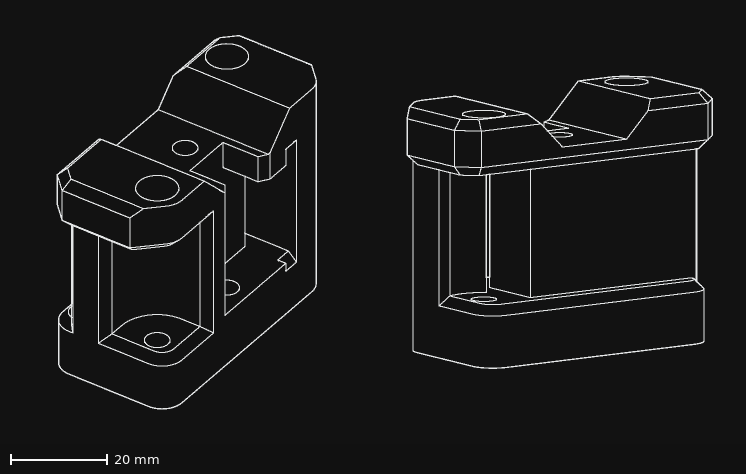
import cadquery as cq
import math

WIDTH = 30.0
LENGTH = 65.5
HEIGHT = 52.0

BEVEL = 2.0
OVER = 3.3

BASE_LENGTH = 57.5
BASE_TOP = 13.05
BASE_RADIUS = 5.0
BASE_END = BASE_LENGTH / 2

WEB_LEFT = BASE_RADIUS
WEB_BEVEL = 1.0

PLATE_BOTTOM = 40.2
PLATE_LEFT = BEVEL
PLATE_END = LENGTH / 2
LEFT_CORNER = 4.0
RIGHT_ROUND = BASE_RADIUS
RIGHT_CORNER = PLATE_END - BASE_END + RIGHT_ROUND * (2 - math.sqrt(2))
LOWER_BEVEL = 2.1

GROOVE_FLOOR = 44.55
GROOVE_HALF_FLOOR = 8.1
GROOVE_RISE = HEIGHT - GROOVE_FLOOR

NOTCH_LEFT = 19.65
NOTCH_CENTER = 0.2
NOTCH_HALF_WIDTH = 6.0
NOTCH_FLARE_START = 28.5
NOTCH_FLARE = 2.2

WINDOW_TOP = PLATE_BOTTOM - LOWER_BEVEL
SLIT_END = 18.1

HOLE_DIAMETER = 5.3
SCREW_HEAD_DIAMETER = 9.0
POCKET_RADIUS = SCREW_HEAD_DIAMETER
SCREW_Y = 23.2
REAR_SCREW_X = 9.0
FRONT_SCREW_X = 23.4
WEB_HOLE_X = 14.3
NOTCH_HOLE_X = 24.75
POCKET_EDGE_Y = SCREW_Y - POCKET_RADIUS
FRONT_POCKET_LEFT = FRONT_SCREW_X - POCKET_RADIUS
REAR_POCKET_ROUND_X = 8.0
COLUMN_BEVEL = 1.0


def box(x0, x1, y0, y1, z0, z1):
    """Box between two opposite corners."""
    return cq.Workplane("XY").box(x1 - x0, y1 - y0, z1 - z0, centered=False).translate((x0, y0, z0))


def prism(points, z0, z1):
    """Closed polygon in plan, extruded from z0 to z1."""
    return cq.Workplane("XY").workplane(offset=z0).polyline(points).close().extrude(z1 - z0)


def cylinder(x, y, diameter, z0, z1):
    """Upright cylinder."""
    return cq.Workplane("XY").workplane(offset=z0).center(x, y).circle(diameter / 2).extrude(z1 - z0)


def make_base():
    """Rounded block with a chamfered top edge."""
    block = box(0, WIDTH, -BASE_END, BASE_END, 0, BASE_TOP)
    return block.edges("|Z").fillet(BASE_RADIUS).faces(">Z").chamfer(BEVEL)


def make_plate():
    """Plate with cut corners, bevelled below all round and above everywhere but on the right."""
    upper = box(PLATE_LEFT, WIDTH + OVER, -PLATE_END, PLATE_END, PLATE_BOTTOM, HEIGHT)
    upper = upper.edges("|Z and <X").chamfer(LEFT_CORNER).faces(">Z").chamfer(BEVEL)
    lower = box(PLATE_LEFT, WIDTH, -PLATE_END, PLATE_END, PLATE_BOTTOM, HEIGHT)
    lower = lower.edges("|Z and <X").chamfer(LEFT_CORNER)
    lower = lower.edges("|Z and >X").chamfer(RIGHT_CORNER)
    lower = lower.edges("|Z and >X").fillet(RIGHT_ROUND)
    lower = lower.faces("<Z").chamfer(LOWER_BEVEL)
    return lower.intersect(upper)


def make_groove():
    """Cutting body for the V-shaped groove, running the full width."""
    half_top = GROOVE_HALF_FLOOR + GROOVE_RISE + OVER
    outline = [
        (-GROOVE_HALF_FLOOR, GROOVE_FLOOR),
        (GROOVE_HALF_FLOOR, GROOVE_FLOOR),
        (half_top, HEIGHT + OVER),
        (-half_top, HEIGHT + OVER),
    ]
    return cq.Workplane("YZ").polyline(outline).close().extrude(WIDTH + OVER)


def make_web():
    """Wall from base to plate, hollowed round the front screw, with its open edges bevelled."""
    bottom = BASE_TOP - BEVEL
    height = PLATE_BOTTOM + LOWER_BEVEL - bottom
    diagonal = POCKET_RADIUS * math.sqrt(0.5)
    return (
        cq.Workplane("XY")
        .workplane(offset=bottom)
        .moveTo(WEB_LEFT, POCKET_EDGE_Y)
        .lineTo(WEB_LEFT, WEB_BEVEL - BASE_END)
        .lineTo(WEB_LEFT + WEB_BEVEL, -BASE_END)
        .lineTo(FRONT_POCKET_LEFT - BEVEL, -BASE_END)
        .lineTo(FRONT_POCKET_LEFT, BEVEL - BASE_END)
        .lineTo(FRONT_POCKET_LEFT, -SCREW_Y)
        .threePointArc(
            (FRONT_SCREW_X - diagonal, -SCREW_Y + diagonal),
            (FRONT_SCREW_X, -POCKET_EDGE_Y),
        )
        .lineTo(WIDTH - BEVEL, -POCKET_EDGE_Y)
        .lineTo(WIDTH, BEVEL - POCKET_EDGE_Y)
        .lineTo(WIDTH, POCKET_EDGE_Y)
        .close()
        .extrude(height)
    )


def make_rear_column():
    """Column at the rear right, hollowed round the rear screw and rounded like the base corner."""
    bottom = BASE_TOP - BEVEL
    height = PLATE_BOTTOM + LOWER_BEVEL - bottom
    bevel_start_y = BASE_END - BEVEL

    def pocket_x(y):
        return REAR_POCKET_ROUND_X + math.sqrt(POCKET_RADIUS**2 - (y - SCREW_Y) ** 2)

    bevel_start_x = pocket_x(bevel_start_y)
    column = (
        cq.Workplane("XY")
        .workplane(offset=bottom)
        .moveTo(WIDTH, SLIT_END)
        .lineTo(WIDTH, BASE_END)
        .lineTo(bevel_start_x + COLUMN_BEVEL, BASE_END)
        .lineTo(bevel_start_x, bevel_start_y)
        .threePointArc((pocket_x(SCREW_Y), SCREW_Y), (pocket_x(SLIT_END), SLIT_END))
        .close()
        .extrude(height)
    )
    return column.edges("|Z and >X and >Y").fillet(BASE_RADIUS)


def make_notch():
    """Cutting body for the flared notch, open to the right, from the base up."""
    near = NOTCH_CENTER - NOTCH_HALF_WIDTH
    far = NOTCH_CENTER + NOTCH_HALF_WIDTH
    outline = [
        (NOTCH_LEFT, near),
        (NOTCH_FLARE_START, near),
        (WIDTH, near - NOTCH_FLARE),
        (WIDTH, far + NOTCH_FLARE),
        (NOTCH_FLARE_START, far),
        (NOTCH_LEFT, far),
    ]
    return prism(outline, BASE_TOP, HEIGHT)


def make_window():
    """Cutting body that opens the web between the notch and the slit before the rear column."""
    return box(NOTCH_LEFT, WIDTH, NOTCH_CENTER, SLIT_END, BASE_TOP, WINDOW_TOP)


def drill(part, x, y):
    """Screw hole through the full height."""
    return part.cut(cylinder(x, y, HOLE_DIAMETER, 0, HEIGHT))


def counterbore(part, x, y):
    """Recess for a screw head, down to the level of the groove floor."""
    return part.cut(cylinder(x, y, SCREW_HEAD_DIAMETER, GROOVE_FLOOR, HEIGHT))


result = make_base().union(make_web()).union(make_rear_column())
result = result.union(make_plate().cut(make_groove()))
result = result.cut(make_notch()).cut(make_window())

for hole_x in (WEB_HOLE_X, NOTCH_HOLE_X):
    result = drill(result, hole_x, NOTCH_CENTER)

for screw_x, screw_y in ((REAR_SCREW_X, SCREW_Y), (FRONT_SCREW_X, -SCREW_Y)):
    result = drill(result, screw_x, screw_y)
    result = counterbore(result, screw_x, screw_y)